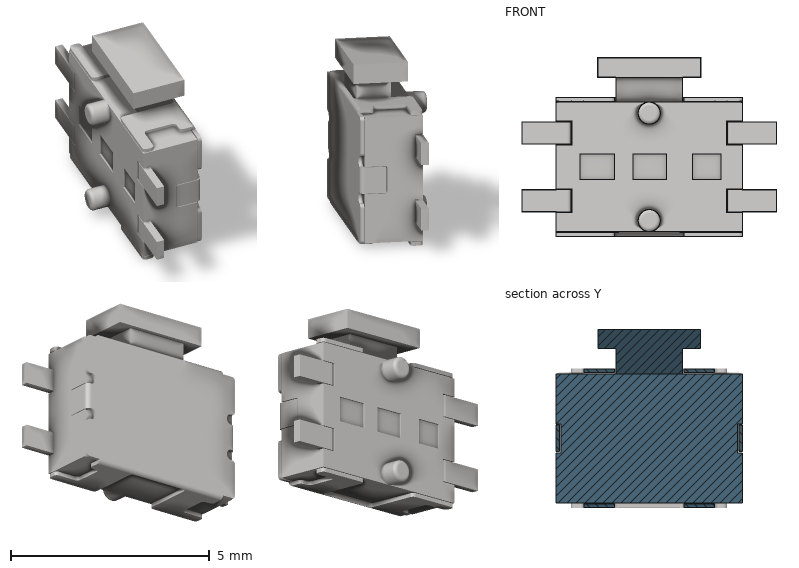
import cadquery as cq


SPAN_X = 6.4
BODY_WIDTH = 4.7
BODY_DEPTH = 1.6
BODY_HEIGHT = 3.5
TOTAL_HEIGHT = 4.5
HALF_WIDTH = BODY_WIDTH / 2

SHEET = 0.1
CORNER_RADIUS = 0.095
CLEARANCE = 0.02
TAB_INNER_BEND = CLEARANCE
TAB_OUTER_BEND = SHEET + TAB_INNER_BEND
TAB_BEND_X = HALF_WIDTH - TAB_OUTER_BEND
PLATE_TOP = BODY_HEIGHT / 2 - SHEET
PLATE_FRONT = BODY_DEPTH - SHEET
FLAP_NECK_HALF = 1.96
FLAP_WAIST_HALF = 1.65
FLAP_EAR_DEPTH = 0.31
FLAP_NECK_FRONT = 1.18
FLAP_NOTCH_HALF = 0.87
TAB_HEIGHT = 0.68
TAB_FRONT = 0.93
TAB_CORNER_RADIUS = 0.04
RELIEF_WIDTH = 0.28

HOUSING_TOP = PLATE_TOP - CLEARANCE
HOUSING_BACK = PLATE_FRONT - CLEARANCE
PEG_DIAMETER = 0.56
PEG_LENGTH = 0.5
PEG_FILLET = 0.095
PEG_OFFSET_Z = 1.35
WINDOW_HEIGHT = 0.64
WINDOW_DEPTH = 0.05
WINDOWS = [(-1.31, 0.87), (0.01, 0.85), (1.445, 0.72)]

TERMINAL_HEIGHT = 0.56
TERMINAL_THICKNESS = 0.2
TERMINAL_INNER_X = 1.965
TERMINAL_BEND_RADIUS = 0.09
TERMINAL_OFFSET_Z = 0.85

KNOB_WIDTH = 2.6
KNOB_HEIGHT = 0.5
KNOB_FRONT = 0.185
KNOB_BACK = 1.58
STEM_WIDTH = 1.68
STEM_FRONT = 0.54
STEM_BACK = 1.43


def block(x_range, y_range, z_range):
    """Box between the given limits on each axis."""
    lows, highs = zip(x_range, y_range, z_range)
    size = [high - low for low, high in zip(lows, highs)]
    return cq.Workplane("XY").box(*size, centered=False).translate(lows)


def terminal_and_recess(side, centre_z):
    """Terminal strip and the slightly larger recess it lies in; side is 1 for +X and -1 for -X."""
    half = TERMINAL_HEIGHT / 2
    depth = (0, TERMINAL_THICKNESS)
    terminal = block((TERMINAL_INNER_X, SPAN_X / 2), depth, (centre_z - half, centre_z + half))
    terminal = terminal.edges("|Z and <X and <Y").fillet(TERMINAL_BEND_RADIUS)
    recess = block(
        (TERMINAL_INNER_X - CLEARANCE, HALF_WIDTH),
        depth,
        (centre_z - half - CLEARANCE, centre_z + half + CLEARANCE),
    )
    if side < 0:
        return terminal.mirror("YZ"), recess.mirror("YZ")
    return terminal, recess


def side_tab_recess():
    """Right-hand pocket that takes the cover's side tab."""
    half = TAB_HEIGHT / 2 + CLEARANCE
    pocket = block(
        (HALF_WIDTH - SHEET - CLEARANCE, HALF_WIDTH),
        (TAB_FRONT - CLEARANCE, HOUSING_BACK),
        (-half, half),
    )
    return pocket.edges("|X and <Y").fillet(TAB_CORNER_RADIUS + CLEARANCE)


def make_housing():
    body = block((-HALF_WIDTH, HALF_WIDTH), (0, HOUSING_BACK), (-HOUSING_TOP, HOUSING_TOP))

    for centre_x, width in WINDOWS:
        window = cq.Workplane("XZ").center(centre_x, 0).rect(width, WINDOW_HEIGHT).extrude(-WINDOW_DEPTH)
        body = body.cut(window)

    pocket = side_tab_recess()
    body = body.cut(pocket).cut(pocket.mirror("YZ"))

    for side in (-1, 1):
        for centre_z in (-TERMINAL_OFFSET_Z, TERMINAL_OFFSET_Z):
            terminal, recess = terminal_and_recess(side, centre_z)
            body = body.cut(recess).union(terminal)

    for centre_z in (-PEG_OFFSET_Z, PEG_OFFSET_Z):
        peg = cq.Workplane("XZ").center(0, centre_z).circle(PEG_DIAMETER / 2).extrude(PEG_LENGTH)
        body = body.union(peg.faces("<Y").edges().fillet(PEG_FILLET))
    return body


def make_back_plate():
    """Back plate with rounded corners and a round-ended relief slot on each side of both tabs."""
    plate = block((-HALF_WIDTH, HALF_WIDTH), (PLATE_FRONT, BODY_DEPTH), (-PLATE_TOP, PLATE_TOP))
    tab_half = TAB_HEIGHT / 2
    slot_radius = RELIEF_WIDTH / 2
    slot_z = tab_half + slot_radius
    slot_outer_z = tab_half + RELIEF_WIDTH
    slot = (
        cq.Workplane("XZ", origin=(0, PLATE_FRONT, 0))
        .moveTo(HALF_WIDTH, tab_half)
        .lineTo(TAB_BEND_X, tab_half)
        .threePointArc((TAB_BEND_X - slot_radius, slot_z), (TAB_BEND_X, slot_outer_z))
        .lineTo(HALF_WIDTH - CORNER_RADIUS, slot_outer_z)
        .radiusArc((HALF_WIDTH, slot_outer_z + CORNER_RADIUS), -CORNER_RADIUS)
        .close()
        .extrude(-SHEET)
    )
    plate = plate.edges("|Y").fillet(CORNER_RADIUS)
    for upper in (slot, slot.mirror("YZ")):
        plate = plate.cut(upper).cut(upper.mirror("XY"))

    fold = block((TAB_BEND_X, HALF_WIDTH), (PLATE_FRONT, BODY_DEPTH), (-tab_half, tab_half))
    return plate.cut(fold).cut(fold.mirror("YZ"))


def make_flap():
    """Top flap, folded forward from the back plate, with waisted sides and a notch for the stem."""
    right_half = [
        (FLAP_NECK_HALF, BODY_DEPTH),
        (FLAP_NECK_HALF, FLAP_NECK_FRONT),
        (FLAP_WAIST_HALF, FLAP_NECK_FRONT),
        (FLAP_WAIST_HALF, FLAP_EAR_DEPTH),
        (HALF_WIDTH, FLAP_EAR_DEPTH),
        (HALF_WIDTH, 0),
        (FLAP_NOTCH_HALF, 0),
        (FLAP_NOTCH_HALF, PLATE_FRONT),
    ]
    left_half = [(-x, y) for x, y in reversed(right_half)]
    outline = (
        cq.Workplane("XY", origin=(0, 0, PLATE_TOP))
        .polyline(right_half + left_half)
        .close()
        .extrude(SHEET)
        .edges("|Z and (not >Y)")
        .fillet(CORNER_RADIUS)
    )
    profile = (
        cq.Workplane("YZ", origin=(-HALF_WIDTH, 0, 0))
        .moveTo(0, PLATE_TOP)
        .lineTo(BODY_DEPTH, PLATE_TOP)
        .radiusArc((PLATE_FRONT, PLATE_TOP + SHEET), -SHEET)
        .lineTo(0, PLATE_TOP + SHEET)
        .close()
        .extrude(BODY_WIDTH)
    )
    return outline.intersect(profile)


def make_side_tab():
    """Right-hand tab, folded forward from the back plate into the housing's pocket."""
    bend_y = BODY_DEPTH - TAB_OUTER_BEND
    inner_x = HALF_WIDTH - SHEET
    tab = (
        cq.Workplane("XY", origin=(0, 0, -TAB_HEIGHT / 2))
        .moveTo(TAB_BEND_X, BODY_DEPTH)
        .radiusArc((HALF_WIDTH, bend_y), TAB_OUTER_BEND)
        .lineTo(HALF_WIDTH, TAB_FRONT)
        .lineTo(inner_x, TAB_FRONT)
        .lineTo(inner_x, bend_y)
        .radiusArc((TAB_BEND_X, PLATE_FRONT), -TAB_INNER_BEND)
        .close()
        .extrude(TAB_HEIGHT)
    )
    return tab.edges("|X and <Y").fillet(TAB_CORNER_RADIUS)


def make_cover():
    flap = make_flap()
    tab = make_side_tab()
    cover = make_back_plate()
    for piece in (flap, flap.mirror("XY"), tab, tab.mirror("YZ")):
        cover = cover.union(piece)
    return cover


def make_slider():
    slider_top = TOTAL_HEIGHT - BODY_HEIGHT / 2
    knob_bottom = slider_top - KNOB_HEIGHT
    knob = block((-KNOB_WIDTH / 2, KNOB_WIDTH / 2), (KNOB_FRONT, KNOB_BACK), (knob_bottom, slider_top))
    stem = block((-STEM_WIDTH / 2, STEM_WIDTH / 2), (STEM_FRONT, STEM_BACK), (HOUSING_TOP, knob_bottom))
    return knob.union(stem)


housing = make_housing()
cover = make_cover()
slider = make_slider()
result = cq.Compound.makeCompound([body.solids().val() for body in (housing, cover, slider)])